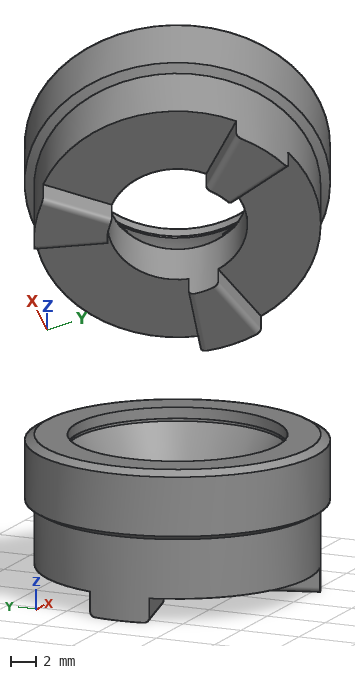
import cadquery as cq
import math

height = 12.5
flange_radius = 12.0
body_radius = 11.25
bore_radius = 5.5

flange_thickness = 5.66
bevel_height = 0.43

mouth_radius = 8.65
mouth_depth = 0.9
undercut = 0.02
undercut_height = 0.22
seat_bottom_depth = 6.62
seat_bulge = 0.07

lug_height = 2.02
lug_count = 3
lug_half_angle = 13.2
lug_edge_radius = 0.48
first_gap_angle = 0.0



def make_ring_body():
    """Revolved ring with the flange, the mouth, the funnel seat and the bore."""
    flange_bottom = height - flange_thickness
    undercut_radius = mouth_radius + undercut
    mouth_bottom = height - mouth_depth
    seat_top = mouth_bottom - undercut_height
    seat_bottom = height - seat_bottom_depth

    chord_width = undercut_radius - bore_radius
    chord_height = seat_top - seat_bottom
    chord_length = math.hypot(chord_width, chord_height)
    seat_middle = (
        (undercut_radius + bore_radius) / 2 - seat_bulge * chord_height / chord_length,
        (seat_top + seat_bottom) / 2 + seat_bulge * chord_width / chord_length,
    )
    return (
        cq.Workplane("XZ")
        .moveTo(bore_radius, 0)
        .lineTo(body_radius, 0)
        .lineTo(body_radius, flange_bottom)
        .lineTo(flange_radius, flange_bottom + bevel_height)
        .lineTo(flange_radius, height - bevel_height)
        .lineTo(body_radius, height)
        .lineTo(mouth_radius, height)
        .lineTo(mouth_radius, mouth_bottom)
        .lineTo(undercut_radius, mouth_bottom)
        .lineTo(undercut_radius, seat_top)
        .threePointArc(seat_middle, (bore_radius, seat_bottom))
        .close()
        .revolve(360, (0, 0), (0, 1))
    )


def make_gap(angle):
    """Wedge-shaped space between two lugs, centred at the given angle."""
    half_angle = math.radians(180 / lug_count - lug_half_angle)
    reach = 2 * flange_radius
    half_width = reach * math.tan(half_angle)
    wedge = (
        cq.Workplane("XY")
        .polyline([(0, 0), (reach, -half_width), (reach, half_width)])
        .close()
        .extrude(lug_height)
    )
    return wedge.rotate((0, 0, 0), (0, 0, 1), angle)


result = make_ring_body()
for index in range(lug_count):
    result = result.cut(make_gap(first_gap_angle + index * 360 / lug_count))

result = result.faces("<Z").edges("%LINE").fillet(lug_edge_radius)